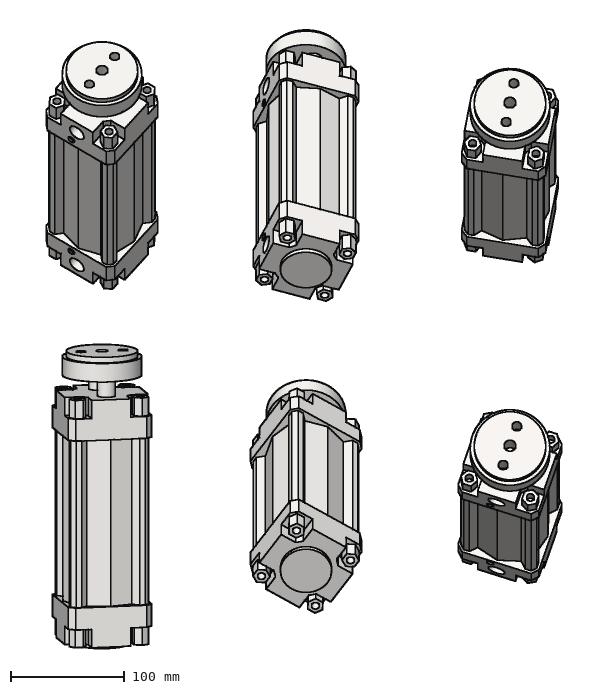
import cadquery as cq
import math

TOTAL_HEIGHT = 262.0

CAP_WIDTH = 75.0
CAP_HEIGHT = 36.0
CAP_CHAMFER = 5.5
NOTCH_INNER = 17.5
NOTCH_HEIGHT = 16.2
NOTCH_CHAMFER = 4.7

BOSS_DIAMETER = 45.0
BOSS_HEIGHT = 4.2

NUT_OFFSET = 28.3
NUT_ACROSS_FLATS = 13.0
NUT_HOLE_DIAMETER = 6.8
NUT_HOLE_DEPTH = 12.0
DRILL_POINT_ANGLE = 118.0

PORT_DIAMETER = 15.2
PORT_INSET = 14.1
PORT_DEPTH = 20.0
SCREW_HOLE_DIAMETER = 6.5
SCREW_HOLE_X = -6.0
SCREW_HOLE_INSET = 28.8
SCREW_HOLE_DEPTH = 2.0

TUBE_HALF_WIDTH = 35.0
TUBE_CHAMFER = 4.0
RIB_START = 26.0
RIB_DEPTH = 5.8

PLATE_DIAMETER = 70.0
PLATE_HEIGHT = 16.5
PLATE_STEP_DIAMETER = 63.0
PLATE_STEP_HEIGHT = 5.0
PLATE_CENTER_HOLE = 10.2
PLATE_SIDE_HOLE = 8.5
PLATE_SIDE_HOLE_Y = 18.9
ROD_DIAMETER = 16.0
ROD_X = 17.5
ROD_LENGTH = 15.5

CAP_HALF = CAP_WIDTH / 2
LOWER_CAP_BOTTOM = BOSS_HEIGHT
PLATE_TOP = TOTAL_HEIGHT - PLATE_STEP_HEIGHT
PLATE_BOTTOM = PLATE_TOP - PLATE_HEIGHT
UPPER_CAP_TOP = PLATE_BOTTOM - ROD_LENGTH
TUBE_BOTTOM = LOWER_CAP_BOTTOM + CAP_HEIGHT
TUBE_TOP = UPPER_CAP_TOP - CAP_HEIGHT
NUT_ACROSS_CORNERS = NUT_ACROSS_FLATS / math.cos(math.radians(30))
CORNERS = [(1, 1), (-1, 1), (-1, -1), (1, -1)]


def cylinder(diameter, z_bottom, height, x=0, y=0):
    """Upright cylinder standing on z_bottom."""
    return cq.Workplane("XY", origin=(x, y, z_bottom)).circle(diameter / 2).extrude(height)


def corner_notch(sign_x, sign_y):
    """Notch cutter for one corner, open to the outer face of the cap at z = 0."""
    bevel = NOTCH_INNER + NOTCH_CHAMFER
    outline = [
        (bevel, NOTCH_INNER),
        (CAP_HALF, NOTCH_INNER),
        (CAP_HALF, CAP_HALF),
        (NOTCH_INNER, CAP_HALF),
        (NOTCH_INNER, bevel),
    ]
    points = [(sign_x * x, sign_y * y) for x, y in outline]
    return cq.Workplane("XY").polyline(points).close().extrude(-NOTCH_HEIGHT)


def drilled_hole(x, y):
    """Blind nut hole with a conical drill point, opening upward at z = 0."""
    radius = NUT_HOLE_DIAMETER / 2
    point_depth = radius / math.tan(math.radians(DRILL_POINT_ANGLE / 2))
    profile = [
        (0, 0),
        (radius, 0),
        (radius, -NUT_HOLE_DEPTH),
        (0, -NUT_HOLE_DEPTH - point_depth),
    ]
    hole = cq.Workplane("XZ").polyline(profile).close().revolve(360, (0, 0, 0), (0, 1, 0))
    return hole.translate((x, y, 0))


def nut(sign_x, sign_y):
    """Hexagonal nut in one notch; its corners point along X or Y, alternating around the cap."""
    x = sign_x * NUT_OFFSET
    y = sign_y * NUT_OFFSET
    turn = 0 if sign_x == sign_y else 90
    hexagon = cq.Workplane("XY").polygon(6, NUT_ACROSS_CORNERS).extrude(-NOTCH_HEIGHT)
    hexagon = hexagon.rotate((0, 0, 0), (0, 0, 1), turn).translate((x, y, 0))
    return hexagon.cut(drilled_hole(x, y))


def front_hole(diameter, x, inset, depth):
    """Blind hole cutter going in from the -Y face, at a depth below the cap's outer face."""
    plane = cq.Workplane("XZ", origin=(x, -CAP_HALF, -inset))
    return plane.circle(diameter / 2).extrude(-depth)


def end_cap():
    """Cap with its outer face at z = 0 and its inner face toward -Z."""
    cap = cq.Workplane("XY").rect(CAP_WIDTH, CAP_WIDTH).extrude(-CAP_HEIGHT)
    cap = cap.edges("|Z").chamfer(CAP_CHAMFER)
    for sign_x, sign_y in CORNERS:
        cap = cap.cut(corner_notch(sign_x, sign_y))
        cap = cap.union(nut(sign_x, sign_y))
    cap = cap.cut(front_hole(PORT_DIAMETER, 0, PORT_INSET, PORT_DEPTH))
    return cap.cut(front_hole(SCREW_HOLE_DIAMETER, SCREW_HOLE_X, SCREW_HOLE_INSET, SCREW_HOLE_DEPTH))


def tube():
    """Barrel with four corner ribs and a shallow ridge along the middle of each side."""
    rib_edge = TUBE_HALF_WIDTH - TUBE_CHAMFER
    barrel_x = TUBE_HALF_WIDTH - RIB_DEPTH
    barrel_y = RIB_START - RIB_DEPTH
    side = [
        (TUBE_HALF_WIDTH, -rib_edge),
        (TUBE_HALF_WIDTH, -RIB_START),
        (barrel_x, -barrel_y),
        (TUBE_HALF_WIDTH, 0),
        (barrel_x, barrel_y),
        (TUBE_HALF_WIDTH, RIB_START),
        (TUBE_HALF_WIDTH, rib_edge),
    ]
    outline = []
    for cosine, sine in [(1, 0), (0, 1), (-1, 0), (0, -1)]:
        outline += [(x * cosine - y * sine, x * sine + y * cosine) for x, y in side]
    section = cq.Workplane("XY", origin=(0, 0, TUBE_BOTTOM)).polyline(outline).close()
    return section.extrude(TUBE_TOP - TUBE_BOTTOM)


def make_housing():
    """Fixed body: tube, two mirrored end caps and the locating boss."""
    cap = end_cap()
    upper_cap = cap.translate((0, 0, UPPER_CAP_TOP))
    lower_cap = cap.mirror("XY").translate((0, 0, LOWER_CAP_BOTTOM))
    boss = cylinder(BOSS_DIAMETER, 0, BOSS_HEIGHT)
    return tube().union(upper_cap).union(lower_cap).union(boss)


def make_slide():
    """Moving body: stepped plate on two guide rods that stand on the upper cap."""
    slide = cylinder(PLATE_DIAMETER, PLATE_BOTTOM, PLATE_HEIGHT)
    slide = slide.union(cylinder(PLATE_STEP_DIAMETER, PLATE_TOP, PLATE_STEP_HEIGHT))
    thickness = PLATE_HEIGHT + PLATE_STEP_HEIGHT
    slide = slide.cut(cylinder(PLATE_CENTER_HOLE, PLATE_BOTTOM, thickness))
    for sign in (-1, 1):
        side_hole = cylinder(PLATE_SIDE_HOLE, PLATE_BOTTOM, thickness, y=sign * PLATE_SIDE_HOLE_Y)
        rod = cylinder(ROD_DIAMETER, UPPER_CAP_TOP, ROD_LENGTH, x=sign * ROD_X)
        slide = slide.cut(side_hole).union(rod)
    return slide


housing = make_housing()
slide = make_slide()

result = cq.Compound.makeCompound([housing.val(), slide.val()])